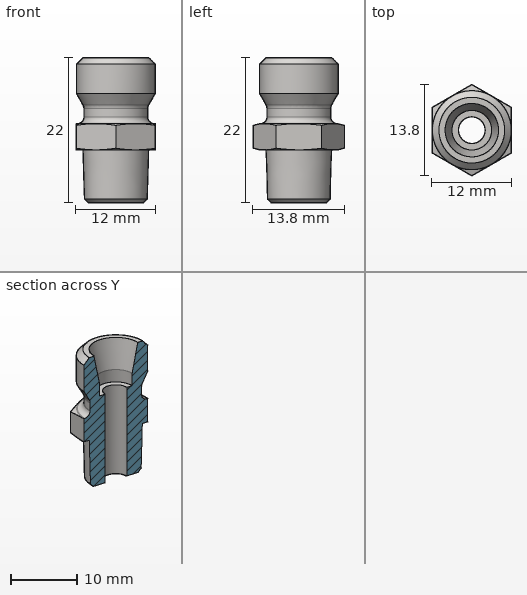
import cadquery as cq
import math

total_height = 22.0
hex_bottom = 8.0
hex_top = 12.0

head_radius = 5.995
head_chamfer = 1.01
head_bottom = 16.57

neck_radius = 4.85
neck_upper_fillet = 1.0
neck_lower_fillet = 1.0
head_cone_angle = 30.0

taper_top_radius = 5.0
taper_bottom_radius = 4.77
tip_chamfer = 0.6

hex_across_flats = 2 * head_radius
hex_across_corners = hex_across_flats / math.cos(math.radians(30))
hex_chamfer_angle = 15.0
hex_chamfer_start_radius = 5.95

bore_radius = 2.0
socket_radius = 3.003
socket_depth = 7.0
mouth_radius = 4.05
mouth_half_angle = 12.0


def revolve_profile(points):
    """Revolve an outline of (radius, height) points about the Z axis."""
    return cq.Workplane("XZ").polyline(points).close().revolve(360, (0, 0), (0, 1))


def make_head():
    cone_height = (head_radius - neck_radius) / math.tan(math.radians(head_cone_angle))
    neck_top = head_bottom - cone_height
    head = revolve_profile([
        (0, hex_top),
        (neck_radius, hex_top),
        (neck_radius, neck_top),
        (head_radius, head_bottom),
        (head_radius, total_height - head_chamfer),
        (head_radius - head_chamfer, total_height),
        (0, total_height),
    ])
    neck_edge = cq.selectors.BoxSelector(
        (-head_radius, -head_radius, neck_top - 0.02),
        (head_radius, head_radius, neck_top + 0.02),
    )
    return head.edges("%CIRCLE").edges(neck_edge).fillet(neck_upper_fillet)


def make_neck_flare():
    """Concave fillet ring joining the neck to the hexagon."""
    flare_radius = neck_radius + neck_lower_fillet
    flare_top = hex_top + neck_lower_fillet
    arc_offset = neck_lower_fillet * (1 - math.sqrt(0.5))
    return (
        cq.Workplane("XZ")
        .moveTo(0, hex_top)
        .lineTo(flare_radius, hex_top)
        .threePointArc((neck_radius + arc_offset, hex_top + arc_offset), (neck_radius, flare_top))
        .lineTo(0, flare_top)
        .close()
        .revolve(360, (0, 0), (0, 1))
    )


def make_hexagon():
    """Hexagon with flats facing +X and -X and conically chamfered corners."""
    prism = (
        cq.Workplane("XY")
        .workplane(offset=hex_bottom)
        .polygon(6, hex_across_corners)
        .extrude(hex_top - hex_bottom)
        .rotate((0, 0, 0), (0, 0, 1), 30)
    )
    corner_radius = hex_across_corners / 2
    chamfer_height = (corner_radius - hex_chamfer_start_radius) * math.tan(math.radians(hex_chamfer_angle))
    envelope = revolve_profile([
        (0, hex_bottom),
        (hex_chamfer_start_radius, hex_bottom),
        (corner_radius, hex_bottom + chamfer_height),
        (corner_radius, hex_top - chamfer_height),
        (hex_chamfer_start_radius, hex_top),
        (0, hex_top),
    ])
    return prism.intersect(envelope)


def make_tapered_end():
    return revolve_profile([
        (0, 0),
        (taper_bottom_radius - tip_chamfer, 0),
        (taper_bottom_radius, tip_chamfer),
        (taper_top_radius, hex_bottom),
        (0, hex_bottom),
    ])


def make_bore():
    mouth_depth = (mouth_radius - socket_radius) / math.tan(math.radians(mouth_half_angle))
    socket_floor = total_height - socket_depth
    return revolve_profile([
        (0, 0),
        (bore_radius, 0),
        (bore_radius, socket_floor),
        (socket_radius, socket_floor),
        (socket_radius, total_height - mouth_depth),
        (mouth_radius, total_height),
        (0, total_height),
    ])


body = make_tapered_end().union(make_hexagon()).union(make_neck_flare()).union(make_head())
result = body.cut(make_bore())